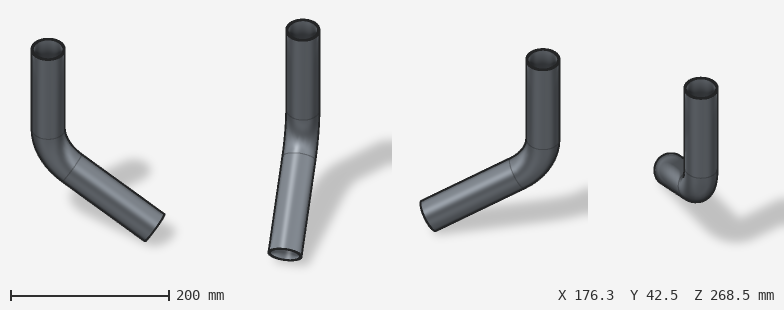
import cadquery as cq
import math

overall_height = 268.5
outer_diameter = 42.5
inner_diameter = 38.5
bend_radius = 63.5
bend_angle = 60.0

turn = math.radians(bend_angle)
bend_drop = bend_radius * math.sin(turn)
end_rim_drop = outer_diameter / 2 * math.sin(turn)
leg_length = (overall_height - bend_drop - end_rim_drop) / (1 + math.cos(turn))


def bend_point(angle):
    """Centreline point after turning by angle; the bend starts at the origin."""
    return (bend_radius * (1 - math.cos(angle)), -bend_radius * math.sin(angle))


bend_end = bend_point(turn)
leg_end = (
    bend_end[0] + leg_length * math.sin(turn),
    bend_end[1] - leg_length * math.cos(turn),
)
centreline = (
    cq.Workplane("XZ")
    .moveTo(0, leg_length)
    .lineTo(0, 0)
    .threePointArc(bend_point(turn / 2), bend_end)
    .lineTo(*leg_end)
)

result = (
    cq.Workplane("XY", origin=(0, 0, leg_length))
    .circle(outer_diameter / 2)
    .circle(inner_diameter / 2)
    .sweep(centreline)
)